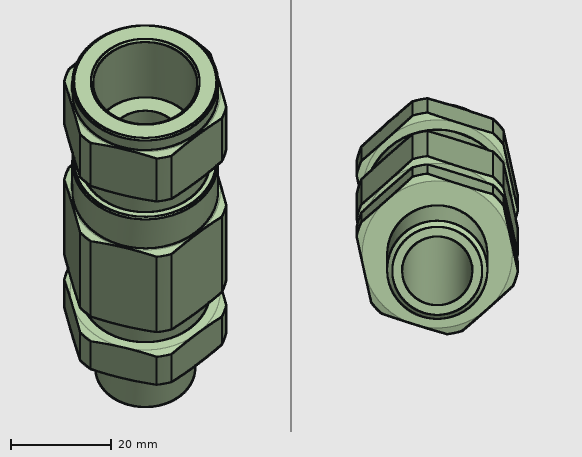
import cadquery as cq
import math

total_length = 94.0
across_flats = 30.0
corner_diameter = 33.0

stem_top = 16.0
lower_hex_top = 26.0
lower_neck_top = 33.1
body_hex_top = 58.6
body_collar_top = 68.3
upper_neck_top = 75.6
nut_hex_top = 90.5

stem_diameter = 20.0
neck_diameter = 26.0
collar_diameter = 29.1

bore_diameter = 14.0
socket_diameter = 20.8
socket_bottom = upper_neck_top

stem_chamfer = 1.0
collar_chamfer = 0.4
socket_chamfer = 0.5

bevel_angle = 18.0
bevel_drop = (corner_diameter - across_flats) / 2 * math.tan(math.radians(bevel_angle))


def cylinder(diameter, bottom, top):
    return cq.Workplane("XY").workplane(offset=bottom).circle(diameter / 2).extrude(top - bottom)


def hexagon(bottom, top):
    """Hexagonal prism with corners along Y, trimmed round and bevelled at both ends."""
    prism = (
        cq.Workplane("XY")
        .workplane(offset=bottom)
        .polygon(6, across_flats, circumscribed=True)
        .extrude(top - bottom)
    )
    corner_radius = corner_diameter / 2
    face_radius = across_flats / 2
    turned_blank = (
        cq.Workplane("XZ")
        .moveTo(0, bottom)
        .lineTo(face_radius, bottom)
        .lineTo(corner_radius, bottom + bevel_drop)
        .lineTo(corner_radius, top - bevel_drop)
        .lineTo(face_radius, top)
        .lineTo(0, top)
        .close()
        .revolve(360, (0, 0), (0, 1))
    )
    return prism.intersect(turned_blank)


def collar(bottom, top):
    """Round collar with a chamfered top edge."""
    return cylinder(collar_diameter, bottom, top).faces(">Z").edges().chamfer(collar_chamfer)


stem = cylinder(stem_diameter, 0, stem_top).faces("<Z").edges().chamfer(stem_chamfer)
lower_hex = hexagon(stem_top, lower_hex_top)
lower_neck = cylinder(neck_diameter, lower_hex_top, lower_neck_top)
body_hex = hexagon(lower_neck_top, body_hex_top)
body_collar = collar(body_hex_top, body_collar_top)
upper_neck = cylinder(neck_diameter, body_collar_top, upper_neck_top)
nut_hex = hexagon(upper_neck_top, nut_hex_top)
nut_collar = collar(nut_hex_top, total_length)

result = stem
for section in (lower_hex, lower_neck, body_hex, body_collar, upper_neck, nut_hex, nut_collar):
    result = result.union(section)

result = result.cut(cylinder(bore_diameter, 0, total_length))
result = result.cut(cylinder(socket_diameter, socket_bottom, total_length))
socket_mouth = cq.selectors.RadiusNthSelector(0)
result = result.faces(">Z").edges(socket_mouth).chamfer(socket_chamfer)